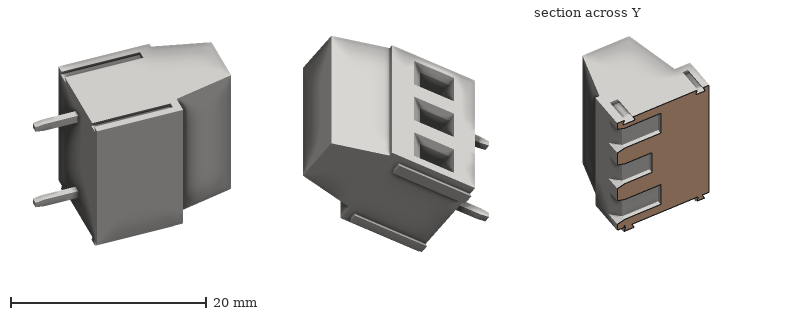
import cadquery as cq

pitch = 5.07
body_height = 15.28
body_width = 11.0
total_length = 20.7
pin_length = 4.7
body_length = total_length - pin_length
middle_z = body_height / 2

left_shoulder_y = 9.98
right_shoulder_y = 9.44
tower_base_left = 0.5
tower_base_right = 9.15
tower_end_left = 2.07
tower_end_right = 7.65

dovetail_length = 8.61
groove_depth = 0.55
rail_height = 0.55
left_dovetail_x = 1.39
right_dovetail_x = 9.92
left_groove_neck, left_groove_base = 0.95, 1.43
right_groove_neck, right_groove_base = 0.62, 1.08
left_rail_neck, left_rail_base = 0.8, 1.3
right_rail_neck, right_rail_base = 0.52, 1.04

entry_front_y = 2.55
entry_mouth_length = 4.78
entry_mouth_height = 3.31
entry_throat_length = 3.56
wire_hole_size = 2.75
funnel_depth = 0.9
throat_depth = 4.15
wire_hole_depth = 5.18

pin_x = 5.28
pin_width = 0.77
pin_height = 0.9
pin_tip_height = 0.58
pin_taper_y = -3.7


def dovetail(center_x, neck_z, base_z, neck_width, base_width):
    """Trapezoidal bar running back from the body front."""
    return (
        cq.Workplane("XZ")
        .polyline([
            (center_x - neck_width / 2, neck_z),
            (center_x + neck_width / 2, neck_z),
            (center_x + base_width / 2, base_z),
            (center_x - base_width / 2, base_z),
        ])
        .close()
        .extrude(-dovetail_length)
    )


def box_between(x_start, x_end, y_start, y_length, center_z, height):
    """Box spanning two X positions and centred on a height."""
    return (
        cq.Workplane("XY")
        .box(x_end - x_start, y_length, height, centered=(False, False, True))
        .translate((x_start, y_start, center_z))
    )


def wire_entry(center_z):
    """Funnel, flat on its front wall, leading into a straight throat."""
    mouth_center_y = entry_front_y + entry_mouth_length / 2
    throat_center_y = entry_front_y + entry_throat_length / 2
    funnel = (
        cq.Workplane("YZ")
        .center(mouth_center_y, center_z)
        .rect(entry_mouth_length, entry_mouth_height)
        .workplane(offset=funnel_depth)
        .center(throat_center_y - mouth_center_y, 0)
        .rect(entry_throat_length, wire_hole_size)
        .loft(ruled=True)
    )
    throat = box_between(
        funnel_depth, throat_depth, entry_front_y, entry_throat_length, center_z, wire_hole_size
    )
    return funnel.union(throat)


def wire_hole(center_z):
    """Square hole continuing past the throat, against its rear wall."""
    hole_front_y = entry_front_y + entry_throat_length - wire_hole_size
    return box_between(
        throat_depth, wire_hole_depth, hole_front_y, wire_hole_size, center_z, wire_hole_size
    )


def solder_pin(center_z):
    """Rectangular pin with a tip tapered in height."""
    return (
        cq.Workplane("YZ", origin=(pin_x, 0, center_z))
        .polyline([
            (0, pin_height / 2),
            (pin_taper_y, pin_height / 2),
            (-pin_length, pin_tip_height / 2),
            (-pin_length, -pin_tip_height / 2),
            (pin_taper_y, -pin_height / 2),
            (0, -pin_height / 2),
        ])
        .close()
        .extrude(pin_width / 2, both=True)
    )


body = (
    cq.Workplane("XY")
    .polyline([
        (0, 0),
        (body_width, 0),
        (body_width, right_shoulder_y),
        (tower_base_right, right_shoulder_y),
        (tower_end_right, body_length),
        (tower_end_left, body_length),
        (tower_base_left, left_shoulder_y),
        (0, left_shoulder_y),
    ])
    .close()
    .extrude(body_height)
)

groove_floor_z = body_height - groove_depth
for groove_x, neck, base in (
    (left_dovetail_x, left_groove_neck, left_groove_base),
    (right_dovetail_x, right_groove_neck, right_groove_base),
):
    body = body.cut(dovetail(groove_x, body_height, groove_floor_z, neck, base))

for rail_x, neck, base in (
    (left_dovetail_x, left_rail_neck, left_rail_base),
    (right_dovetail_x, right_rail_neck, right_rail_base),
):
    body = body.union(dovetail(rail_x, 0, -rail_height, neck, base))

for pole in (-1, 0, 1):
    pole_z = middle_z + pole * pitch
    body = body.cut(wire_entry(pole_z))
    if pole != 0:
        body = body.cut(wire_hole(pole_z))
        body = body.union(solder_pin(pole_z))

result = body